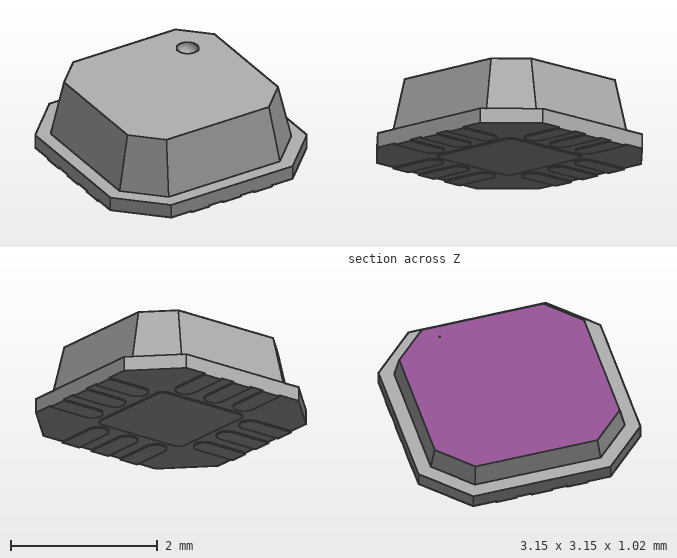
import cadquery as cq

plate_size = 3.15
plate_chamfer = 0.602
plate_thickness = 0.202

total_height = 1.02
ledge_width = 0.2
cap_draft_angle = 12.0

contact_standoff = 0.02
lead_width = 0.293
lead_length = 0.75
lead_pitch = 0.5
leads_per_side = 3
centre_pad_size = 1.45
centre_pad_corner_radius = 0.1

dimple_radius = 0.15
dimple_offset = 0.702

plate_top = contact_standoff + plate_thickness
cap_height = total_height - plate_top


def make_plate():
    return (
        cq.Workplane("XY", origin=(0, 0, contact_standoff))
        .rect(plate_size, plate_size)
        .extrude(plate_thickness)
        .edges("|Z")
        .chamfer(plate_chamfer)
    )


def make_cap(plate):
    return (
        plate.faces(">Z")
        .wires()
        .toPending()
        .workplane(origin=(0, 0, plate_top))
        .offset2D(-ledge_width)
        .extrude(cap_height, taper=cap_draft_angle, combine=False)
    )


def make_lead(offset):
    """Lead on the +X side, flush with the plate edge and fully rounded at its inner end."""
    end_radius = lead_width / 2
    outer_end = plate_size / 2
    round_start = outer_end - lead_length + end_radius
    return (
        cq.Workplane("XY")
        .moveTo(outer_end, offset - end_radius)
        .lineTo(outer_end, offset + end_radius)
        .lineTo(round_start, offset + end_radius)
        .threePointArc((outer_end - lead_length, offset), (round_start, offset - end_radius))
        .close()
        .extrude(plate_top)
    )


def make_centre_pad():
    return (
        cq.Workplane("XY")
        .rect(centre_pad_size, centre_pad_size)
        .extrude(plate_top)
        .edges("|Z")
        .fillet(centre_pad_corner_radius)
    )


def make_dimple():
    return cq.Workplane("XY").sphere(dimple_radius).translate((-dimple_offset, dimple_offset, total_height))


plate = make_plate()
result = plate.union(make_cap(plate)).union(make_centre_pad())

for side in range(4):
    for index in range(leads_per_side):
        offset = (index - (leads_per_side - 1) / 2) * lead_pitch
        lead = make_lead(offset).rotate((0, 0, 0), (0, 0, 1), 90 * side)
        result = result.union(lead)

result = result.cut(make_dimple())